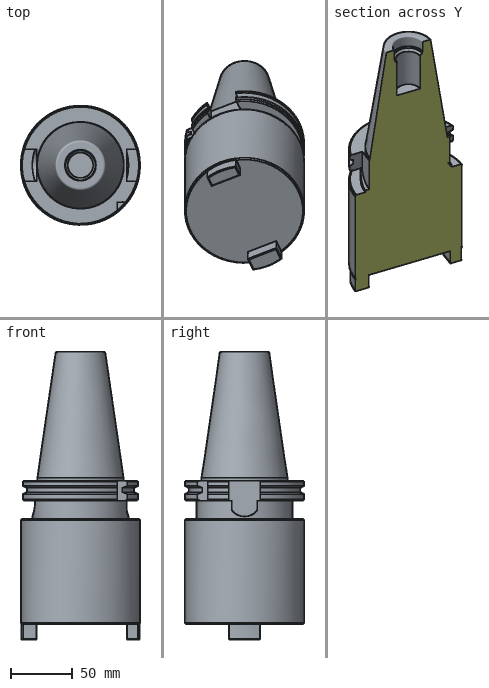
import cadquery as cq
import math

total_height = 234.2
key_height = 12.6
body_top = 98.5
flange_bottom = 113.1
flange_top = 129.5
taper_bottom = 131.6

body_diameter = 97.2
body_radius = body_diameter / 2
body_chamfer = 1.2
neck_radius = 39.1
flange_chamfer = 1.2

groove_root_radius = 45.5
groove_root_width = 3.3
groove_mouth_width = 6.8
groove_height = 121.8

taper_base_radius = 35.1
taper_slope = 7 / 48
taper_end_fillet = 1.9
collar_radius = 35.4

pilot_radius = 12.6
pilot_depth = 9.8
mouth_rounding = 1.2
step_radius = 12.2
step_depth = 11.5
thread_radius = 10.3
countersink_depth = 2.0
thread_depth = 46.8

slot_width = 25.8
left_face = 35.5
right_face = 37.7
notch_offset = 30.0
key_radius = 48.3
key_width = 25.3
key_chamfer = 0.7


def cylinder(radius, bottom, top):
    return cq.Workplane("XY").workplane(offset=bottom).circle(radius).extrude(top - bottom)


def make_body():
    body = cylinder(body_radius, key_height, body_top).edges().chamfer(body_chamfer)
    return body.union(cylinder(neck_radius, body_top, flange_bottom))


def make_flange():
    flange = cylinder(body_radius, flange_bottom, flange_top).edges().chamfer(flange_chamfer)
    half_root = groove_root_width / 2
    half_mouth = groove_mouth_width / 2
    groove = (
        cq.Workplane("XZ")
        .moveTo(groove_root_radius, groove_height - half_root)
        .lineTo(body_radius, groove_height - half_mouth)
        .lineTo(body_radius, groove_height + half_mouth)
        .lineTo(groove_root_radius, groove_height + half_root)
        .close()
        .revolve(360, (0, 0), (0, 1))
    )
    return flange.cut(groove)


def make_taper():
    taper_length = total_height - taper_bottom
    end_radius = taper_base_radius - taper_length * taper_slope
    taper = (
        cq.Workplane("XZ")
        .moveTo(0, taper_bottom)
        .lineTo(taper_base_radius, taper_bottom)
        .lineTo(end_radius, total_height)
        .lineTo(0, total_height)
        .close()
        .revolve(360, (0, 0), (0, 1))
        .faces(">Z")
        .edges()
        .fillet(taper_end_fillet)
    )
    return taper.union(cylinder(collar_radius, flange_top, taper_bottom))


def make_bore():
    mouth_radius = pilot_radius + mouth_rounding
    rounding_start = total_height - mouth_rounding
    diagonal = mouth_rounding * math.sqrt(0.5)
    rounding_middle = (mouth_radius - diagonal, rounding_start + diagonal)
    return (
        cq.Workplane("XZ")
        .moveTo(0, total_height)
        .lineTo(mouth_radius, total_height)
        .threePointArc(rounding_middle, (pilot_radius, rounding_start))
        .lineTo(pilot_radius, total_height - pilot_depth)
        .lineTo(step_radius, total_height - pilot_depth)
        .lineTo(step_radius, total_height - step_depth)
        .lineTo(thread_radius, total_height - step_depth - countersink_depth)
        .lineTo(thread_radius, total_height - thread_depth)
        .lineTo(0, total_height - thread_depth)
        .close()
        .revolve(360, (0, 0), (0, 1))
    )


def make_drive_slot(side, floor):
    """Slot open at the flange top, with a half-round lower end centred on the flange underside."""
    half_width = slot_width / 2
    return (
        cq.Workplane("YZ")
        .workplane(offset=side * floor)
        .moveTo(-half_width, flange_top)
        .lineTo(-half_width, flange_bottom)
        .threePointArc((0, flange_bottom - half_width), (half_width, flange_bottom))
        .lineTo(half_width, flange_top)
        .close()
        .extrude(side * body_radius)
    )


def make_orientation_notch():
    return (
        cq.Workplane("XY")
        .workplane(offset=flange_bottom)
        .moveTo(notch_offset, -notch_offset)
        .rect(body_radius, -body_radius, centered=False)
        .extrude(flange_top - flange_bottom)
    )


def make_key(side, inner_face):
    """Key below the body, round on the outside and flat on the side facing the axis."""
    disc = cylinder(key_radius, 0, key_height)
    block = (
        cq.Workplane("YZ")
        .workplane(offset=side * inner_face)
        .rect(key_width, 2 * key_height)
        .extrude(side * body_radius)
    )
    return disc.intersect(block).faces("<Z").edges().chamfer(key_chamfer)


result = make_body().union(make_flange()).union(make_taper())
result = result.cut(make_bore())
for side, face in ((-1, left_face), (1, right_face)):
    result = result.union(make_key(side, face))
    result = result.cut(make_drive_slot(side, face))
result = result.cut(make_orientation_notch())